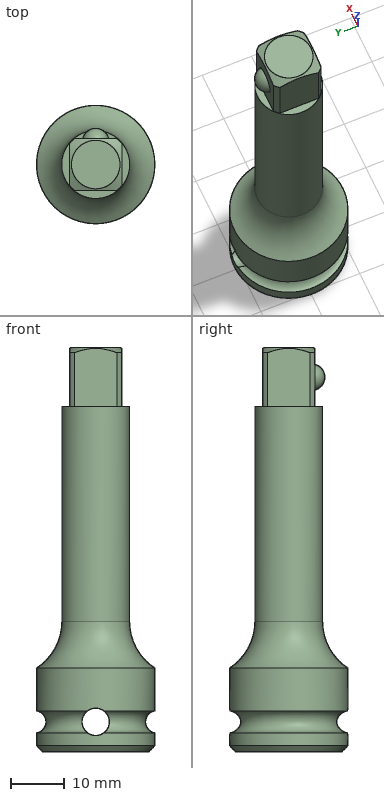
import cadquery as cq
import math

total_length = 75.0
head_diameter = 22.0
head_radius = head_diameter / 2
shaft_radius = 6.3

base_chamfer = 1.1
groove_height = 5.55
groove_half_height = 2.0
groove_depth = 1.7
head_top = 15.5
flare_top = 24.15
cross_hole_diameter = 5.0

drive_width = 9.7
drive_length = 10.95
drive_base = total_length - drive_length
drive_corner_radius = 6.2
tip_radius = 4.5
tip_angle = 30.0

ball_radius = 2.5
ball_protrusion = 1.9
ball_y = drive_width / 2 + ball_protrusion - ball_radius
ball_z = 69.45


def make_turned_body():
    """Head with an arc-shaped groove, concave flare and shaft, turned about Z."""
    flare_width = head_radius - shaft_radius
    flare_height = flare_top - head_top
    flare_radius = (flare_width**2 + flare_height**2) / (2 * flare_width)
    half_sweep = math.asin(flare_height / flare_radius) / 2
    flare_mid = (
        shaft_radius + flare_radius * (1 - math.cos(half_sweep)),
        flare_top - flare_radius * math.sin(half_sweep),
    )
    profile = (
        cq.Workplane("XZ")
        .moveTo(0, 0)
        .lineTo(head_radius - base_chamfer, 0)
        .lineTo(head_radius, base_chamfer)
        .lineTo(head_radius, groove_height - groove_half_height)
        .threePointArc(
            (head_radius - groove_depth, groove_height),
            (head_radius, groove_height + groove_half_height),
        )
        .lineTo(head_radius, head_top)
        .threePointArc(flare_mid, (shaft_radius, flare_top))
        .lineTo(shaft_radius, drive_base)
        .lineTo(0, drive_base)
        .close()
    )
    return profile.revolve(360, (0, 0, 0), (0, 1, 0))


def make_drive():
    """Square drive with turned corners and a conical tip."""
    square = (
        cq.Workplane("XY")
        .workplane(offset=drive_base)
        .rect(drive_width, drive_width)
        .extrude(drive_length)
    )
    tip_drop = (drive_corner_radius - tip_radius) * math.tan(math.radians(tip_angle))
    envelope = (
        cq.Workplane("XZ")
        .moveTo(0, drive_base)
        .lineTo(drive_corner_radius, drive_base)
        .lineTo(drive_corner_radius, total_length - tip_drop)
        .lineTo(tip_radius, total_length)
        .lineTo(0, total_length)
        .close()
        .revolve(360, (0, 0, 0), (0, 1, 0))
    )
    return square.intersect(envelope)


def make_cross_hole():
    """Cutter for the hole along Y, through the whole head at the groove."""
    return (
        cq.Workplane("XZ")
        .center(0, groove_height)
        .circle(cross_hole_diameter / 2)
        .extrude(head_radius, both=True)
    )


def make_ball():
    """Retaining ball standing out of the +Y face of the drive."""
    return cq.Workplane("XY").sphere(ball_radius).translate((0, ball_y, ball_z))


def make_extension_bar():
    """Turned body and drive in one piece, with a seat that matches the ball."""
    return make_turned_body().union(make_drive()).cut(make_cross_hole()).cut(make_ball())


extension_bar = make_extension_bar()
ball = make_ball()

result = cq.Compound.makeCompound([extension_bar.val(), ball.val()])